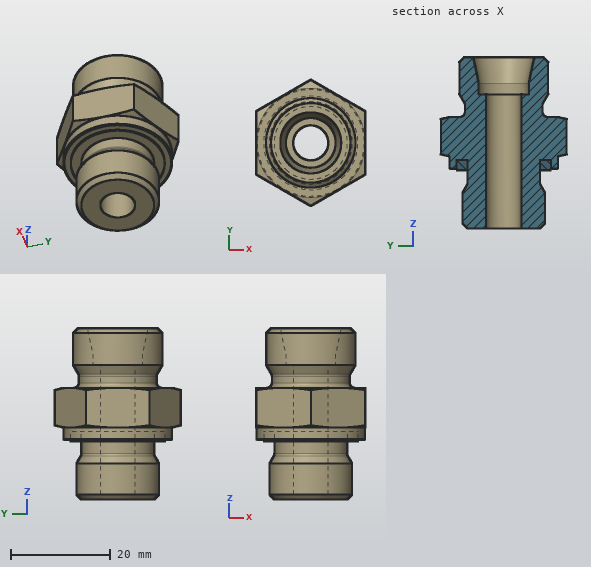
import cadquery as cq
import math

HEIGHT = 34.5
BORE_DIA = 7.0

HEX_BOTTOM = 14.5
HEX_TOP = 22.5
HEX_ACROSS_FLATS = 22.0
HEX_CHAMFER_DIA = 21.98
HEX_CHAMFER_ANGLE = 15.0
COLLAR_DIA = 21.9
COLLAR_BOTTOM = 12.0
COLLAR_CHAMFER = 0.2

UPPER_DIA = 18.0
UPPER_NECK_DIA = 15.7
UPPER_SHOULDER = 27.08
LOWER_DIA = 16.65
LOWER_NECK_DIA = 14.7
LOWER_SHOULDER = 7.28
END_CHAMFER = 1.0
NECK_FILLET = 1.0
SHOULDER_ANGLE = 30.0

SOCKET_DIA = 10.0
SOCKET_MOUTH_DIA = 12.28
SOCKET_CONE_ANGLE = 12.0
SOCKET_DEPTH = 7.5

RING_OUTER_DIA = 18.9
RING_BOTTOM = 11.73
RING_TOP = 13.73


def revolve(profile):
    """Revolve a closed (radius, height) profile about Z."""
    return profile.close().revolve(360, (0, 0, 0), (0, 1, 0))


def relieved_end(end, shoulder, base, end_dia, neck_dia, fillet_at_base):
    """Solid threaded end from its tip to its base, with a conical shoulder and a filleted neck."""
    direction = math.copysign(1, base - end)
    slope = math.radians(SHOULDER_ANGLE)
    end_radius = end_dia / 2
    neck_radius = neck_dia / 2

    cone_end_radius = neck_radius + NECK_FILLET * (1 - math.cos(slope))
    cone_end = shoulder + direction * (end_radius - cone_end_radius) / math.tan(slope)
    neck_start = cone_end + direction * NECK_FILLET * math.sin(slope)
    arc_middle_radius = neck_radius + NECK_FILLET * (1 - math.cos(slope / 2))
    arc_middle = neck_start - direction * NECK_FILLET * math.sin(slope / 2)

    profile = (
        cq.Workplane("XZ")
        .moveTo(0, end)
        .lineTo(end_radius - END_CHAMFER, end)
        .lineTo(end_radius, end + direction * END_CHAMFER)
        .lineTo(end_radius, shoulder)
        .lineTo(cone_end_radius, cone_end)
        .threePointArc((arc_middle_radius, arc_middle), (neck_radius, neck_start))
    )
    if fillet_at_base:
        inset = NECK_FILLET * (1 - math.sqrt(0.5))
        profile = profile.lineTo(neck_radius, base - direction * NECK_FILLET).threePointArc(
            (neck_radius + inset, base - direction * inset),
            (neck_radius + NECK_FILLET, base),
        )
    else:
        profile = profile.lineTo(neck_radius, base)
    return revolve(profile.lineTo(0, base))


def hexagon():
    """Hexagon with corners on the Y axis, both faces turned to a shallow cone."""
    corner_dia = HEX_ACROSS_FLATS / math.cos(math.radians(30))
    corner_radius = corner_dia / 2
    chamfer_radius = HEX_CHAMFER_DIA / 2
    drop = (corner_radius - chamfer_radius) * math.tan(math.radians(HEX_CHAMFER_ANGLE))
    prism = (
        cq.Workplane("XY", origin=(0, 0, HEX_BOTTOM))
        .transformed(rotate=(0, 0, 90))
        .polygon(6, corner_dia)
        .extrude(HEX_TOP - HEX_BOTTOM)
    )
    turned_blank = revolve(
        cq.Workplane("XZ")
        .moveTo(0, HEX_BOTTOM)
        .lineTo(chamfer_radius, HEX_BOTTOM)
        .lineTo(corner_radius, HEX_BOTTOM + drop)
        .lineTo(corner_radius, HEX_TOP - drop)
        .lineTo(chamfer_radius, HEX_TOP)
        .lineTo(0, HEX_TOP)
    )
    return prism.intersect(turned_blank)


def collar():
    """Round flange under the hexagon."""
    return (
        cq.Workplane("XY", origin=(0, 0, COLLAR_BOTTOM))
        .circle(COLLAR_DIA / 2)
        .extrude(HEX_BOTTOM - COLLAR_BOTTOM)
        .faces("<Z")
        .chamfer(COLLAR_CHAMFER)
    )


def passage():
    """Through bore together with the conical tube socket."""
    socket_radius = SOCKET_DIA / 2
    mouth_radius = SOCKET_MOUTH_DIA / 2
    cone_depth = (mouth_radius - socket_radius) / math.tan(math.radians(SOCKET_CONE_ANGLE))
    socket_floor = HEIGHT - SOCKET_DEPTH
    return revolve(
        cq.Workplane("XZ")
        .lineTo(BORE_DIA / 2, 0)
        .lineTo(BORE_DIA / 2, socket_floor)
        .lineTo(socket_radius, socket_floor)
        .lineTo(socket_radius, HEIGHT - cone_depth)
        .lineTo(mouth_radius, HEIGHT)
        .lineTo(0, HEIGHT)
    )


def sealing_ring():
    """Flat ring around the lower neck, standing slightly proud of the collar."""
    return (
        cq.Workplane("XY", origin=(0, 0, RING_BOTTOM))
        .circle(RING_OUTER_DIA / 2)
        .circle(LOWER_NECK_DIA / 2)
        .extrude(RING_TOP - RING_BOTTOM)
    )


def fitting_body(ring):
    """Fitting with its passage and the groove that holds the ring."""
    upper_end = relieved_end(HEIGHT, UPPER_SHOULDER, HEX_TOP, UPPER_DIA, UPPER_NECK_DIA, True)
    lower_end = relieved_end(0, LOWER_SHOULDER, HEX_BOTTOM, LOWER_DIA, LOWER_NECK_DIA, False)
    solid = hexagon().union(collar()).union(upper_end).union(lower_end)
    return solid.cut(passage()).cut(ring)


seal = sealing_ring()
body = fitting_body(seal)

result = cq.Compound.makeCompound([body.solids().val(), seal.val()])